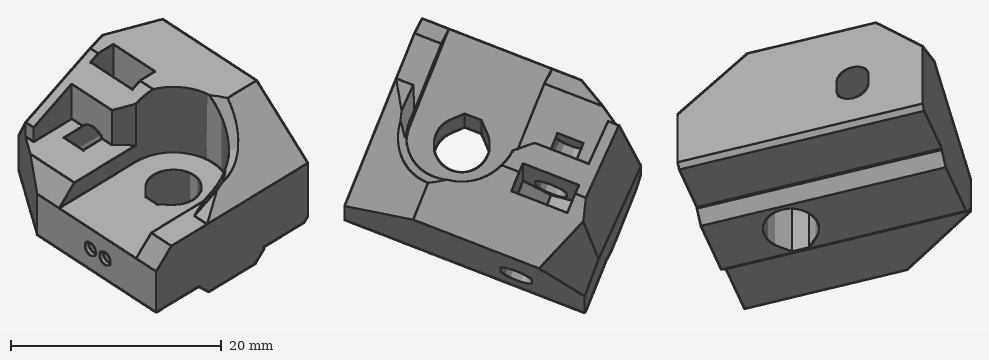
import cadquery as cq
import math

LENGTH = 24.5
WIDTH = 20.0
HEIGHT = 13.0
DECK_Z = 7.0
FRONT_CHAMFER = 2.0
BACK_CHAMFER = 0.5
CORNER_CUT_X = 8.25
CORNER_CUT_Y = 5.5

OVERSIZE = 100.0
MARGIN = 1.0

RAIL_CENTER_Y = 10.0
RAIL_WIDTH = 8.5
RAIL_DEPTH = 1.4
RAIL_CHAMFER = 1.2

FRONT_SLOPE = 0.5
FRONT_SLOPE_TOP_Y = 12.0
RIGHT_SLOPE_TOP_X = 17.5
LEFT_SLOPE_TOP_X = 3.05
LEFT_SLOPE_LOW_Z = 4.2
BACK_LEFT_TOP_X = 4.65
BACK_LEFT_LOW_Z = 8.3
BACK_LEFT_FRONT_Y = 16.45
RAMP_DROP = 3.0

SLOT_X = 16.5
SLOT_Y = 10.0
SLOT_RADIUS = 5.25
SLOT_FLOOR_Z = 5.0
SLOT_EDGE_CHAMFER = 1.0
HOLE_RADIUS = 2.65
HOLE_FLAT_DISTANCE = 2.9

WALL_END_Y = 3.5
RECESS_BACK_Y = 8.5
RECESS_CORNER = 1.6

SCREW_X = 7.0
SCREW_Z = 6.1
SCREW_DIAMETER = 3.2
SCREW_SLOT_DROP = 1.0
SCREW_START_Y = 6.0
NUT_FLATS = 5.7
NUT_FRONT_Y = 11.0
NUT_THICKNESS = 3.0

PIN_DIAMETER = 1.5
PIN_SPACING = 2.0
PIN_Z = 2.5
PIN_DEPTH = 0.5

SLOT_LEFT_X = SLOT_X - SLOT_RADIUS
RECESS_LEFT_X = SCREW_X - NUT_FLATS / 2
RAMP_START_Y = RAMP_DROP / math.sin(math.atan(FRONT_SLOPE))


def box(x_range, y_range, z_range):
    """Box spanning the given ranges."""
    size = [high - low for low, high in (x_range, y_range, z_range)]
    corner = (x_range[0], y_range[0], z_range[0])
    return cq.Workplane("XY").box(*size, centered=False).translate(corner)


def above_plane(first, second, third):
    """Large block resting on the upper side of the plane through three points."""
    origin = cq.Vector(*first)
    along = cq.Vector(*second) - origin
    normal = along.cross(cq.Vector(*third) - origin)
    if normal.z < 0:
        normal = -normal
    plane = cq.Plane(origin, along, normal)
    return cq.Workplane(plane).rect(OVERSIZE, OVERSIZE).extrude(OVERSIZE)


def make_block():
    """Side profile with the rail, then the front left corner cut off."""
    rail_front = RAIL_CENTER_Y - RAIL_WIDTH / 2
    rail_back = RAIL_CENTER_Y + RAIL_WIDTH / 2
    rail_side_z = RAIL_CHAMFER - RAIL_DEPTH
    profile = [
        (0, 0),
        (rail_front, 0),
        (rail_front, rail_side_z),
        (rail_front + RAIL_CHAMFER, -RAIL_DEPTH),
        (rail_back - RAIL_CHAMFER, -RAIL_DEPTH),
        (rail_back, rail_side_z),
        (rail_back, 0),
        (WIDTH - BACK_CHAMFER, 0),
        (WIDTH, BACK_CHAMFER),
        (WIDTH, HEIGHT),
        (FRONT_CHAMFER, HEIGHT),
        (FRONT_CHAMFER, DECK_Z),
        (0, DECK_Z - FRONT_CHAMFER),
    ]
    block = cq.Workplane("YZ").polyline(profile).close().extrude(LENGTH)
    corner = [(0, 0), (CORNER_CUT_X, 0), (0, CORNER_CUT_Y)]
    return block.cut(cq.Workplane("XY").polyline(corner).close().extrude(HEIGHT))


def above_right_slope():
    """Space above the roof face falling from the top to the right edge."""
    top = (RIGHT_SLOPE_TOP_X, 0, HEIGHT)
    return above_plane(top, (RIGHT_SLOPE_TOP_X, WIDTH, HEIGHT), (LENGTH, 0, DECK_Z))


def above_ramp():
    """Space above the ramp rising from the deck on the right of the slot."""
    rise = FRONT_SLOPE * (WIDTH - RAMP_START_Y)
    low = (0, RAMP_START_Y, DECK_Z)
    return above_plane(low, (LENGTH, RAMP_START_Y, DECK_Z), (0, WIDTH, DECK_Z + rise))


def ramp_zone():
    """Deck space right of the slot center, in front of the ramp's upper end."""
    return box((SLOT_X, LENGTH), (0, FRONT_SLOPE_TOP_Y), (DECK_Z, HEIGHT))


def slope_roof(body):
    """Cut the sloping faces that surround the flat top."""
    front_z = HEIGHT - FRONT_SLOPE * FRONT_SLOPE_TOP_Y
    front_top = (0, FRONT_SLOPE_TOP_Y, HEIGHT)
    front = above_plane(front_top, (LENGTH, FRONT_SLOPE_TOP_Y, HEIGHT), (0, 0, front_z))
    front = front.intersect(box((0, SLOT_X), (0, WIDTH), (0, HEIGHT)))

    rear_rise = FRONT_SLOPE * (WIDTH - CORNER_CUT_Y)
    left_low = (0, CORNER_CUT_Y, LEFT_SLOPE_LOW_Z)
    left_rear = (0, WIDTH, LEFT_SLOPE_LOW_Z + rear_rise)
    left = above_plane(left_low, left_rear, (LEFT_SLOPE_TOP_X, FRONT_SLOPE_TOP_Y, HEIGHT))

    shared_rise = FRONT_SLOPE * (BACK_LEFT_FRONT_Y - CORNER_CUT_Y)
    shared = (0, BACK_LEFT_FRONT_Y, LEFT_SLOPE_LOW_Z + shared_rise)
    back_left = above_plane((0, WIDTH, BACK_LEFT_LOW_Z), (BACK_LEFT_TOP_X, WIDTH, HEIGHT), shared)

    ramp = above_ramp().intersect(ramp_zone())
    for cutter in (front, left, back_left, above_right_slope(), ramp):
        body = body.cut(cutter)
    return body


def cut_recess(body):
    """Lower the front to the deck, leaving a thin wall on the left."""
    outline = [
        (RECESS_LEFT_X, 0),
        (SLOT_X, 0),
        (SLOT_X, RECESS_BACK_Y + RECESS_CORNER),
        (SLOT_LEFT_X, RECESS_BACK_Y + RECESS_CORNER),
        (SLOT_LEFT_X - RECESS_CORNER, RECESS_BACK_Y),
        (RECESS_LEFT_X, RECESS_BACK_Y),
    ]
    recess = cq.Workplane("XY").workplane(offset=DECK_Z).polyline(outline).close().extrude(HEIGHT)
    front = box((0, LENGTH), (0, WALL_END_Y), (DECK_Z, HEIGHT))
    return body.cut(recess).cut(front)


def make_slot():
    """Round-ended slot, open to the front and upward."""
    return (
        cq.Workplane("XY", origin=(0, 0, SLOT_FLOOR_Z))
        .moveTo(SLOT_LEFT_X, -OVERSIZE / 2)
        .lineTo(SLOT_LEFT_X, SLOT_Y)
        .threePointArc((SLOT_X, SLOT_Y + SLOT_RADIUS), (SLOT_X + SLOT_RADIUS, SLOT_Y))
        .lineTo(SLOT_X + SLOT_RADIUS, -OVERSIZE / 2)
        .close()
        .extrude(OVERSIZE)
    )


def flared_slot(cutter):
    """Slot below the face under a cutter, its edge on that face widened by a chamfer."""
    blank = box((0, LENGTH), (0, WIDTH), (0, OVERSIZE / 2)).cut(cutter)
    slotted = blank.cut(make_slot())
    above_floor = cq.selectors.BoxSelector(
        (SLOT_LEFT_X - MARGIN, MARGIN, SLOT_FLOOR_Z + MARGIN),
        (SLOT_X + SLOT_RADIUS + MARGIN, WIDTH - MARGIN, OVERSIZE),
    )
    rim = slotted.edges(above_floor).edges("not |Z")
    return blank.cut(rim.chamfer(SLOT_EDGE_CHAMFER))


def cut_slot(body):
    """Cut the slot and chamfer its edge along the right slope and the ramp."""
    ramp_flare = flared_slot(above_ramp()).intersect(ramp_zone())
    return body.cut(make_slot()).cut(flared_slot(above_right_slope())).cut(ramp_flare)


def cut_teardrop_hole(body):
    """Hole through the slot floor with 45 degree flanks and a flat at the front."""
    tangent = HOLE_RADIUS * math.sqrt(0.5)
    flat_half = HOLE_RADIUS * math.sqrt(2) - HOLE_FLAT_DISTANCE
    hole = (
        cq.Workplane("XY", origin=(SLOT_X, SLOT_Y, -RAIL_DEPTH))
        .moveTo(-flat_half, -HOLE_FLAT_DISTANCE)
        .lineTo(-tangent, -tangent)
        .threePointArc((0, HOLE_RADIUS), (tangent, -tangent))
        .lineTo(flat_half, -HOLE_FLAT_DISTANCE)
        .close()
        .extrude(HEIGHT)
    )
    return body.cut(hole)


def cut_screw_and_nut(body):
    """Oblong screw hole out through the back, with a nut slot open at the top."""
    screw = (
        cq.Workplane("XZ", origin=(SCREW_X, SCREW_START_Y, SCREW_Z - SCREW_SLOT_DROP / 2))
        .slot2D(SCREW_DIAMETER + SCREW_SLOT_DROP, SCREW_DIAMETER, 90)
        .extrude(-WIDTH)
    )
    half_flats = NUT_FLATS / 2
    corner_radius = NUT_FLATS / math.sqrt(3)
    nut_outline = [
        (0, -corner_radius),
        (half_flats, -corner_radius / 2),
        (half_flats, HEIGHT),
        (-half_flats, HEIGHT),
        (-half_flats, -corner_radius / 2),
    ]
    nut = (
        cq.Workplane("XZ", origin=(SCREW_X, NUT_FRONT_Y, SCREW_Z))
        .polyline(nut_outline)
        .close()
        .extrude(-NUT_THICKNESS)
    )
    return body.cut(screw).cut(nut)


def cut_pin_holes(body):
    """Two blind holes in the front face, either side of the slot center."""
    for side in (-1, 1):
        x = SLOT_X + side * PIN_SPACING / 2
        pin = cq.Workplane("XZ", origin=(x, 0, PIN_Z)).circle(PIN_DIAMETER / 2).extrude(-PIN_DEPTH)
        body = body.cut(pin)
    return body


body = make_block()
body = slope_roof(body)
body = cut_recess(body)
body = cut_slot(body)
body = cut_teardrop_hole(body)
body = cut_screw_and_nut(body)
result = cut_pin_holes(body)